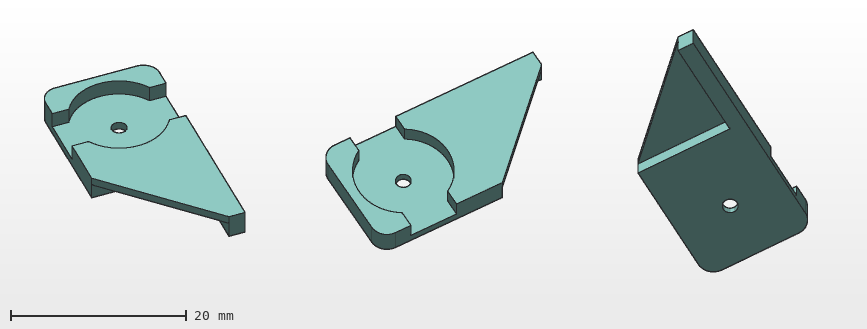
import cadquery as cq

length = 28.0
width = 14.0
thickness = 3.0
corner_radius = 2.0
floor_thickness = 1.0
slot_width = 6.0
recess_diameter = 11.6
hole_diameter = 1.8
end_width = 2.0
flange_thickness = 1.0

centre = width / 2
slope_run = width - end_width
slope_start = length - slope_run
pocket_depth = thickness - floor_thickness


def plate():
    """Plate with a 45 degree sloping side and two rounded corners."""
    outline = [
        (0, 0),
        (slope_start, 0),
        (length, slope_run),
        (length, width),
        (0, width),
    ]
    body = cq.Workplane("XY").polyline(outline).close().extrude(thickness)
    return body.edges("|Z and <X").fillet(corner_radius)


def pocket():
    """Round recess crossed by a straight slot that is open at both sides."""
    floor = cq.Workplane("XY", origin=(centre, centre, floor_thickness))
    recess = floor.circle(recess_diameter / 2).extrude(pocket_depth)
    slot = floor.rect(slot_width, width).extrude(pocket_depth)
    return recess.union(slot)


def centre_hole():
    """Through hole in the middle of the recess."""
    return cq.Workplane("XY").center(centre, centre).circle(hole_diameter / 2).extrude(thickness)


def underside_rebate():
    """Square-cornered clearance below the sloping side, leaving a thin triangular flange."""
    rebate_height = thickness - flange_thickness
    start = cq.Workplane("XY", origin=(slope_start, 0, 0))
    return start.box(slope_run, slope_run, rebate_height, centered=False)


result = plate().cut(pocket()).cut(centre_hole()).cut(underside_rebate())